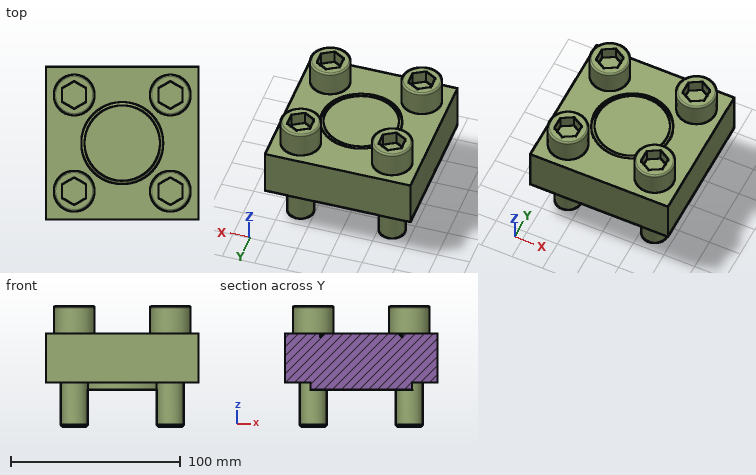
import cadquery as cq
import math

plate_side = 90.0
plate_height = 29.0

screw_circle_diameter = 80.0
screw_spacing = screw_circle_diameter / math.sqrt(2)
shank_diameter = 16.0
shank_length = 26.0
shank_chamfer = 1.35
head_diameter = 24.0
head_height = 16.0
head_fillet = 1.1
socket_flats = 14.0
socket_depth = 8.0

groove_diameter = 48.3
groove_depth = 2.0
boss_diameter = 60.0
boss_height = 4.2


def make_plate():
    """Square plate with the round boss below and the ring groove above."""
    plate = cq.Workplane("XY").box(
        plate_side, plate_side, plate_height, centered=(True, True, False)
    )
    boss = cq.Workplane("XY").circle(boss_diameter / 2).extrude(-boss_height)
    groove_floor = cq.Workplane("XY", origin=(0, 0, plate_height - groove_depth))
    groove = groove_floor.circle(groove_diameter / 2).extrude(groove_depth)
    core = groove_floor.circle(groove_diameter / 2).extrude(groove_depth, taper=45)
    return plate.union(boss).cut(groove.cut(core))


def make_screw():
    """Screw on the Z axis: shank below the plate, head with hexagon socket above."""
    shank = (
        cq.Workplane("XY", origin=(0, 0, -shank_length))
        .circle(shank_diameter / 2)
        .extrude(shank_length + plate_height)
        .faces("<Z")
        .chamfer(shank_chamfer)
    )
    head_top = plate_height + head_height
    head = (
        cq.Workplane("XY", origin=(0, 0, plate_height))
        .circle(head_diameter / 2)
        .extrude(head_height)
        .faces(">Z")
        .edges()
        .fillet(head_fillet)
    )
    socket_across_corners = socket_flats / math.cos(math.radians(30))
    socket = (
        cq.Workplane("XY", origin=(0, 0, head_top))
        .transformed(rotate=(0, 0, 90))
        .polygon(6, socket_across_corners)
        .extrude(-socket_depth)
    )
    return shank.union(head).cut(socket)


result = make_plate()
screw = make_screw()
for x_side in (-1, 1):
    for y_side in (-1, 1):
        position = (x_side * screw_spacing / 2, y_side * screw_spacing / 2, 0)
        result = result.union(screw.translate(position))